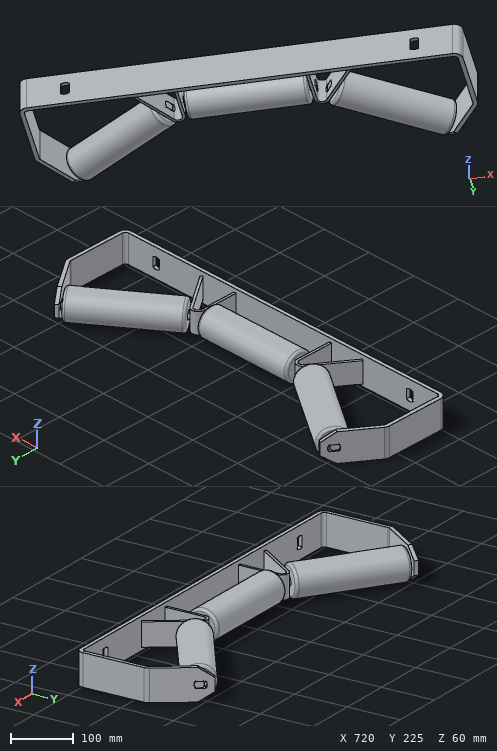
import cadquery as cq
import math


frame_length = 720.0
frame_depth = 225.0
frame_width = 60.0
frame_thickness = 8.0
frame_bend_radius = 6.5
trough_angle = 35.0
wing_corner_height = 135.0
tip_chamfer_length = 27.0
tip_chamfer_width = 17.0

mount_slot_length = 23.0
mount_slot_width = 14.0
mount_slot_offset = 284.0

roller_diameter = 60.0
roller_length = 200.0
roller_edge_radius = 5.0
axle_diameter = 16.5
axle_flat_width = 12.0
axle_collar_length = 2.0
axle_length = 219.0
center_roller_y = 71.0
side_roller_x = 219.5
side_roller_y = 140.0

bracket_width = 44.0
bracket_bend_radius = 8.0
bracket_thickness = 5.0
axle_slot_travel = 4.0

tilt = math.radians(trough_angle)


def bent_strip(corners, thickness, width, bend_radius):
    """Strip of constant thickness along a mid-line with rounded corners, centred on Z = 0."""
    mid_line = cq.Wire.makePolygon([cq.Vector(x, y, 0) for x, y in corners])
    mid_line = mid_line.fillet(bend_radius + thickness / 2)
    (start_x, start_y), (next_x, next_y) = corners[:2]
    section_plane = cq.Plane(
        origin=(start_x, start_y, 0),
        xDir=(0, 0, 1),
        normal=(next_x - start_x, next_y - start_y, 0),
    )
    return cq.Workplane(section_plane).rect(width, thickness).sweep(cq.Workplane(mid_line))


def flattened_round(plane, diameter, flat_width, travel=0.0):
    """Outline of a circle with flats at +/- half the flat width on the plane's local Y.

    The travel lengthens the flats, moving the arc at the local +X end away from the circle.
    """
    radius = diameter / 2
    half_flat = flat_width / 2
    flat_end = math.sqrt(radius**2 - half_flat**2)
    return (
        cq.Workplane(plane)
        .moveTo(-flat_end, -half_flat)
        .lineTo(flat_end + travel, -half_flat)
        .threePointArc((radius + travel, 0), (flat_end + travel, half_flat))
        .lineTo(-flat_end, half_flat)
        .threePointArc((-radius, 0), (-flat_end, -half_flat))
        .close()
    )


def axle_along_x(length, travel=0.0):
    """Flattened axle centred on the origin along X; the travel stretches it toward +Y."""
    plane = cq.Plane(origin=(-length / 2, 0, 0), xDir=(0, 1, 0), normal=(1, 0, 0))
    return flattened_round(plane, axle_diameter, axle_flat_width, travel).extrude(length)


def place_center(shape):
    return shape.translate((0, center_roller_y, 0))


def place_left(shape):
    tilted = shape.rotate((0, 0, 0), (0, 0, 1), -trough_angle)
    return tilted.translate((-side_roller_x, side_roller_y, 0))


def mirrored(shape):
    return shape.mirror("YZ")


def roller():
    """Roller with its axle along X, centred on the origin."""
    drum = (
        cq.Workplane("YZ", origin=(-roller_length / 2, 0, 0))
        .circle(roller_diameter / 2)
        .extrude(roller_length)
        .faces("|X")
        .edges()
        .fillet(roller_edge_radius)
    )
    round_length = roller_length + 2 * axle_collar_length
    collars = (
        cq.Workplane("YZ", origin=(-round_length / 2, 0, 0))
        .circle(axle_diameter / 2)
        .extrude(round_length)
    )
    return drum.union(collars).union(axle_along_x(axle_length))


left_axle_slot = place_left(axle_along_x(axle_length + frame_thickness, axle_slot_travel))
center_axle_slot = place_center(axle_along_x(axle_length + frame_thickness, axle_slot_travel))


def mount_slot(slot_x):
    """Cutter through the base for one upright mounting slot."""
    plane = cq.Plane(origin=(slot_x, 0, 0), xDir=(0, 0, 1), normal=(0, 1, 0))
    return flattened_round(plane, mount_slot_length, mount_slot_width).extrude(frame_thickness)


def frame():
    half = frame_thickness / 2
    side_x = frame_length / 2 - half
    corner_y = wing_corner_height - half * math.tan(tilt / 2)
    tip_y = frame_depth - half * math.sin(tilt)
    tip_x = side_x - (tip_y - corner_y) * math.tan(tilt)
    left_corners = [(-tip_x, tip_y), (-side_x, corner_y), (-side_x, half)]
    right_corners = [(-x, y) for x, y in reversed(left_corners)]
    strap = bent_strip(left_corners + right_corners, frame_thickness, frame_width, frame_bend_radius)

    wing_plane = cq.Plane(
        origin=(-tip_x, tip_y, 0),
        xDir=(-math.sin(tilt), -math.cos(tilt), 0),
        normal=(math.cos(tilt), -math.sin(tilt), 0),
    )
    for edge_z in (-frame_width / 2, frame_width / 2):
        inner_z = edge_z - math.copysign(tip_chamfer_width, edge_z)
        wedge = (
            cq.Workplane(wing_plane)
            .polyline([(0, inner_z), (0, edge_z), (tip_chamfer_length, edge_z)])
            .close()
            .extrude(frame_thickness, both=True)
        )
        strap = strap.cut(wedge).cut(mirrored(wedge))

    strap = strap.cut(left_axle_slot).cut(mirrored(left_axle_slot))

    for slot_x in (-mount_slot_offset, mount_slot_offset):
        strap = strap.cut(mount_slot(slot_x))
    return strap


def left_bracket():
    """Folded strip whose two legs stand on the base and carry the ends of two axles."""
    half = bracket_thickness / 2
    mid_distance = axle_length / 2 - half
    upright_x = -mid_distance
    seat_x = -side_roller_x + mid_distance * math.cos(tilt)
    seat_y = side_roller_y - mid_distance * math.sin(tilt)
    fold_y = seat_y + (upright_x - seat_x) / math.tan(tilt)
    foot_y = frame_thickness + half * math.sin(tilt)
    foot_x = seat_x - (seat_y - foot_y) * math.tan(tilt)
    corners = [(foot_x, foot_y), (upright_x, fold_y), (upright_x, frame_thickness)]
    strip = bent_strip(corners, bracket_thickness, bracket_width, bracket_bend_radius)
    return strip.cut(left_axle_slot).cut(center_axle_slot)


frame_body = frame()
bracket = left_bracket()
brackets = [bracket, mirrored(bracket)]
side_roller = place_left(roller())
rollers = [side_roller, place_center(roller()), mirrored(side_roller)]

bodies = [frame_body, *brackets, *rollers]
result = cq.Compound.makeCompound([body.solids().val() for body in bodies])